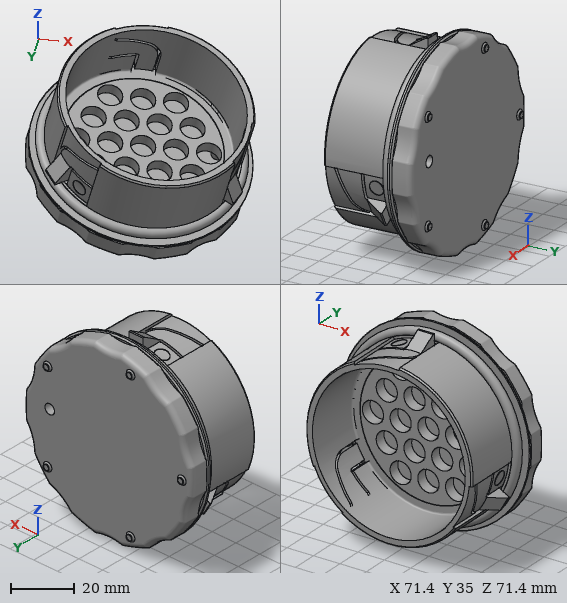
import cadquery as cq
import math


flange_radius = 35.7
flange_rim = 0.7
flange_back = 1.3
flange_back_radius = 35.05

knob_gap = 0.2
knob_front = flange_back + knob_gap
lobe_middle_radius = 35.5
lobe_corner_radius = 35.7
knob_back = 8.6
lobe_count = 10
lobe_pitch = 360 / lobe_count
scallop_floor_radius = 34.4
lobe_edge_fillet = 1.0
knob_back_fillet = 2.0

stud_count = 5
stud_pitch = 360 / stud_count
first_stud_angle = lobe_pitch
stud_circle_radius = 31.3
stud_radius = 1.15
stud_height = 0.85
stud_foot_radius = 1.8
stud_foot_height = 0.5

ring_section_radius = 1.7
ring_radius = 32.2
groove_radius = ring_radius - ring_section_radius
groove_front = -2 * ring_section_radius

tube_radius = 31.5
bore_radius = 28.9
tube_front = -25.55
front_chamfer_radial = 0.5
front_chamfer_axial = 0.65
bore_floor = -3.65
bore_floor_fillet = 0.65

plug_radius = 25.8
plug_gap = 0.15
plug_front = bore_floor
plug_hole_radius = 4.0
plug_hole_depth = 4.3
plug_hole_pitch = 10.5
plug_hole_rings = 2
plug_hole_floor = plug_front + plug_hole_depth

vent_radius = 2.0
vent_x = 24.4
vent_z = 3.1

latch_count = 3
recess_radius = 30.55
recess_back = bore_floor
recess_start_angle = -25.0
recess_end_angle = 7.1
recess_overcut = 0.7
window_half_width = 3.85
slit_width = 0.9
slit_offset = window_half_width - slit_width / 2
slit_end_x = -12.6
tab_slit_y = -12.15
tab_slit_bend = 0.5
arm_slit_end_y = -21.85
arm_slit_slope = 17.1
arm_slit_bend_start = -12.15
hook_half_width = window_half_width - slit_width
hook_top = 34.4
hook_base = 29.6
hook_back = -4.6
hook_flat = 0.7
hook_front = -12.1
hook_front_height = 30.4
cut_bottom = 26.4
cut_height = 7.15
cut_middle = cut_bottom + cut_height / 2

disc_radius = 2.5
disc_x = -8.4
disc_y = -7.5
disc_seat_radius = 29.5
disc_sink = 0.15


def polar(radius, angle):
    """Point at an angle in degrees, measured from the first axis of the plane."""
    turn = math.radians(angle)
    return (radius * math.cos(turn), radius * math.sin(turn))


def cylinder_y(radius, y_front, y_back, x=0.0, z=0.0):
    """Cylinder along Y between two Y values."""
    return cq.Workplane("XZ", origin=(x, y_back, z)).circle(radius).extrude(y_back - y_front)


def revolve_y(points):
    """Solid of revolution about Y from (radius, Y) points."""
    return cq.Workplane("XY").polyline(points).close().revolve(360, (0, 0, 0), (0, 1, 0))


def around_axis(shape, count):
    """Copies of a shape, evenly turned about Y."""
    return [shape.rotate((0, 0, 0), (0, 1, 0), i * 360 / count) for i in range(count)]


def make_knob_disc():
    """Disc with convex lobes and concave scallops in turn around its rim."""
    edge = lobe_pitch / 4
    outline = cq.Workplane("XZ", origin=(0, knob_back, 0)).moveTo(*polar(lobe_corner_radius, -edge))
    for i in range(lobe_count):
        lobe = i * lobe_pitch
        outline = outline.threePointArc(
            polar(lobe_middle_radius, lobe), polar(lobe_corner_radius, lobe + edge)
        )
        outline = outline.threePointArc(
            polar(scallop_floor_radius, lobe + 2 * edge), polar(lobe_corner_radius, lobe + 3 * edge)
        )
    disc = outline.close().extrude(knob_back - knob_front)
    disc = disc.edges("|Y").fillet(lobe_edge_fillet)
    return disc.faces(">Y").edges().fillet(knob_back_fillet)


def make_plug_holes():
    """Hexagonal pattern of blind holes in the front of the plug."""
    row_pitch = plug_hole_pitch * math.sqrt(3) / 2
    centres = []
    for row in range(-plug_hole_rings, plug_hole_rings + 1):
        holes_in_row = 2 * plug_hole_rings + 1 - abs(row)
        for i in range(holes_in_row):
            centres.append(((i - (holes_in_row - 1) / 2) * plug_hole_pitch, row * row_pitch))
    return (
        cq.Workplane("XZ", origin=(0, plug_hole_floor, 0))
        .pushPoints(centres)
        .circle(plug_hole_radius)
        .extrude(plug_hole_depth)
    )


def make_flange_and_tube():
    """Flange, O-ring groove and tube."""
    return revolve_y([
        (0, flange_back),
        (flange_back_radius, flange_back),
        (flange_radius, flange_rim),
        (flange_radius, 0),
        (groove_radius, 0),
        (groove_radius, groove_front),
        (tube_radius, groove_front),
        (tube_radius, tube_front + front_chamfer_axial),
        (tube_radius - front_chamfer_radial, tube_front),
        (0, tube_front),
    ])


def make_bore():
    """Inside of the tube, with a rounded corner at its floor."""
    bore = cylinder_y(bore_radius, tube_front, bore_floor)
    return bore.faces(">Y").edges().fillet(bore_floor_fillet)


def make_stud(angle):
    """Round stud with a flared foot, standing on the back of the knob."""
    x, z = polar(stud_circle_radius, angle)
    tip = knob_back + stud_height
    stud = revolve_y([
        (0, knob_back),
        (stud_foot_radius, knob_back),
        (stud_radius, knob_back + stud_foot_height),
        (stud_radius, tip),
        (0, tip),
    ])
    return stud.translate((x, 0, z))


def make_knob():
    """Scalloped disc with studs on its back and a perforated plug on its front."""
    knob = make_knob_disc().union(cylinder_y(plug_radius, plug_front, knob_back))
    for i in range(stud_count):
        knob = knob.union(make_stud(first_stud_angle + i * stud_pitch))
    knob = knob.cut(make_plug_holes())
    return knob.cut(cylinder_y(vent_radius, plug_hole_floor, knob_back, vent_x, vent_z))


def make_latch_recess():
    """Shallow step in the outside of the tube, from just in front of the O-ring to the front end."""
    outer = tube_radius + recess_overcut
    start = 90 - recess_start_angle
    end = 90 - recess_end_angle
    middle = (start + end) / 2
    return (
        cq.Workplane("XZ", origin=(0, recess_back, 0))
        .moveTo(*polar(recess_radius, start))
        .threePointArc(polar(recess_radius, middle), polar(recess_radius, end))
        .lineTo(*polar(outer, end))
        .threePointArc(polar(outer, middle), polar(outer, start))
        .close()
        .extrude(recess_back - tube_front)
    )


def make_slit(path, start):
    """Slit of constant width along a path that starts toward -Y, cut along Z."""
    section = cq.Workplane("XZ", origin=(0, start[1], 0)).center(start[0], cut_middle)
    return section.rect(slit_width, cut_height).sweep(path)


def make_tab_slit():
    """L-shaped slit between the tab and the arm."""
    start = (-slit_offset, bore_floor)
    path = (
        cq.Workplane("XY", origin=(0, 0, cut_middle))
        .moveTo(*start)
        .lineTo(-slit_offset, tab_slit_y + tab_slit_bend)
        .tangentArcPoint((-tab_slit_bend, -tab_slit_bend))
        .lineTo(slit_end_x, tab_slit_y)
    )
    return make_slit(path, start)


def make_arm_slit():
    """Slit along the free side of the arm, bending into a slanted run."""
    slope = math.radians(arm_slit_slope)
    corner_y = arm_slit_end_y + (slit_offset - slit_end_x) * math.tan(slope)
    tangent_length = arm_slit_bend_start - corner_y
    bend_end = (slit_offset - tangent_length * math.cos(slope), corner_y - tangent_length * math.sin(slope))
    start = (slit_offset, bore_floor)
    path = (
        cq.Workplane("XY", origin=(0, 0, cut_middle))
        .moveTo(*start)
        .lineTo(slit_offset, arm_slit_bend_start)
        .tangentArcPoint(bend_end, relative=False)
        .lineTo(slit_end_x, arm_slit_end_y)
    )
    return make_slit(path, start)


def make_window():
    """Opening between the bore floor and the back of the hook."""
    length = bore_floor - hook_back
    return (
        cq.Workplane("XY", origin=(0, bore_floor - length / 2, cut_bottom))
        .rect(2 * window_half_width, length)
        .extrude(cut_height)
    )


def make_hook():
    """Ramped hook on the end of the arm."""
    return (
        cq.Workplane("YZ")
        .polyline([
            (hook_back, hook_base),
            (hook_back, hook_top),
            (hook_back - hook_flat, hook_top),
            (hook_front, hook_front_height),
            (hook_front, hook_base),
        ])
        .close()
        .extrude(hook_half_width, both=True)
    )


def make_disc_shape(inner_radius, outer_radius):
    """Round disc along Z, its two faces following cylinders about Y."""
    pin = cq.Workplane("XY", origin=(disc_x, disc_y, cut_bottom)).circle(disc_radius).extrude(cut_height)
    shell = cylinder_y(outer_radius, tube_front, 0).cut(cylinder_y(inner_radius, tube_front, 0))
    return pin.intersect(shell)


def make_housing():
    """Flange and tube with a middle opening and three latches, in one piece."""
    housing = make_flange_and_tube()
    housing = housing.cut(cylinder_y(plug_radius + plug_gap, bore_floor, flange_back))
    inside = make_bore()
    for opening in (make_window(), make_tab_slit(), make_arm_slit()):
        for copy in around_axis(opening, latch_count):
            inside = inside.union(copy)
    housing = housing.cut(inside)
    for recess in (make_latch_recess(), make_disc_shape(disc_seat_radius, tube_radius)):
        for copy in around_axis(recess, latch_count):
            housing = housing.cut(copy)
    for hook in around_axis(make_hook(), latch_count):
        housing = housing.union(hook)
    return housing


def make_o_ring():
    """O-ring lying in the groove in front of the flange."""
    return (
        cq.Workplane("XY")
        .center(ring_radius, -ring_section_radius)
        .circle(ring_section_radius)
        .revolve(360, (-ring_radius, 0, 0), (-ring_radius, 1, 0))
    )


housing = make_housing()
knob = make_knob()
o_ring = make_o_ring()
discs = around_axis(make_disc_shape(disc_seat_radius, recess_radius - disc_sink), latch_count)

result = cq.Compound.makeCompound(
    [housing.val(), knob.val(), o_ring.val()] + [disc.val() for disc in discs]
)